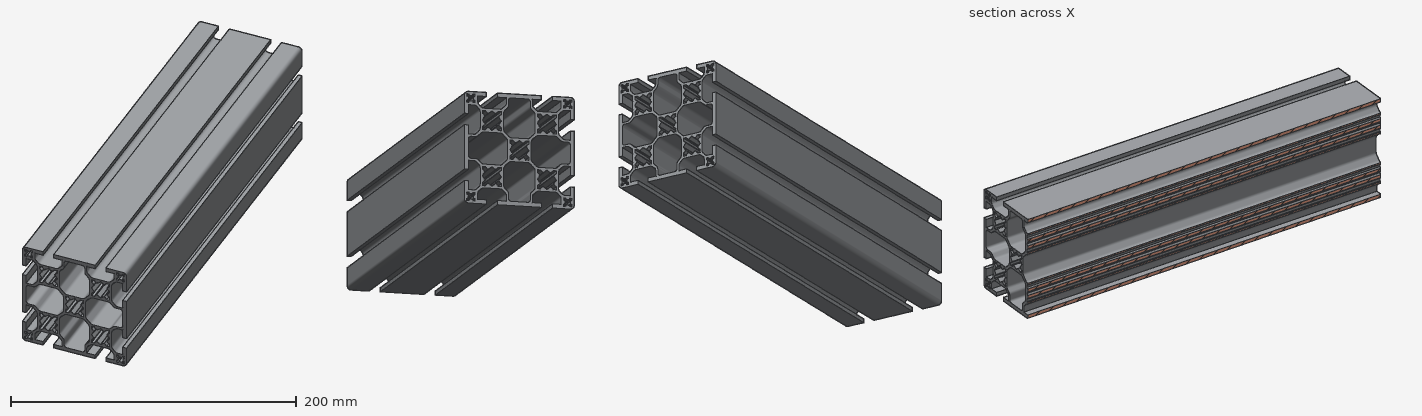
import cadquery as cq

length = 300.0
width = 80.0
half_width = width / 2

skin = 3.0
inner_width = width - 2 * skin
corner_radius = 3.0
slot_width = 8.2
slot_offset = width / 4

cell_side = 17.0
cell_wall = 1.7
tooth_inner_foot = 0.1
tooth_tip = 2.9
tooth_outer_foot = 4.8
tooth_height = 2.0

corner_cell_side = 9.6
corner_cell_wall = 1.85
ridge_height = 1.0
ridge_half_base = 1.6
ridge_half_crest = 1.2

diagonal_web = 2.2
straight_web = 1.5
straight_web_inner = 7.9
web_fillet = 3.0
web_root_fillet = 2.0

SIGNS = (-1, 1)
QUARTERS = range(4)
DIAGONALS = [(sx, sz) for sx in SIGNS for sz in SIGNS]
corner_cell_offset = half_width - corner_cell_side / 2
main_cells = [(0, 0)] + [(sx * slot_offset, sz * slot_offset) for sx, sz in DIAGONALS]
corner_cells = [(sx * corner_cell_offset, sz * corner_cell_offset) for sx, sz in DIAGONALS]

AXIS_START = (0, 0, 0)
AXIS_END = (0, 1, 0)


def section():
    """Cross-section plane with local axes X and Z, at the middle of the length."""
    return cq.Workplane("XZ")


def extrude_full(outline):
    """Extrude a cross-section outline over the whole length."""
    return outline.extrude(length / 2, both=True)


def bar(size_x, size_z, centres):
    """Rectangular bars of one size at the given centres."""
    return extrude_full(section().pushPoints(centres).rect(size_x, size_z))


def turned(points, quarter_turns):
    """Rotate outline points about the origin by quarter turns."""
    for _ in range(quarter_turns):
        points = [(-z, x) for x, z in points]
    return points


def rounded_block():
    """Solid block with the outer shape of the profile."""
    return bar(width, width, [(0, 0)]).edges("|Y").fillet(corner_radius)


def slotted_skin():
    """Rounded square tube with two slots in each side."""
    tube = rounded_block().cut(bar(inner_width, inner_width, [(0, 0)]))
    for sign in SIGNS:
        offset = sign * slot_offset
        tube = tube.cut(bar(slot_width, width, [(offset, 0)]))
        tube = tube.cut(bar(width, slot_width, [(0, offset)]))
    return tube


def cell_blocks():
    """Solid square bars for all the cells, kept inside the rounded outer shape."""
    corner_blocks = bar(corner_cell_side, corner_cell_side, corner_cells).intersect(rounded_block())
    return bar(cell_side, cell_side, main_cells).union(corner_blocks)


def diagonal_webs():
    """Two webs along the full diagonals, from corner cell to corner cell."""
    reach = 2 * 2**0.5 * corner_cell_offset
    flat = bar(reach, diagonal_web, [(0, 0)])
    return flat.rotate(AXIS_START, AXIS_END, 45).union(flat.rotate(AXIS_START, AXIS_END, -45))


def bent_web():
    """Web leaving the skin square on, then bending 45 degrees to the middle of a slot cell."""
    straight_web_outer = straight_web_inner + straight_web
    skin_middle = half_width - skin / 2
    centre_sum = 2 * slot_offset
    half_spread = diagonal_web / 2**0.5
    half_step = half_spread / 2
    outline = [
        (straight_web_inner, skin_middle),
        (straight_web_inner, centre_sum - half_spread - straight_web_inner),
        (slot_offset - half_step, slot_offset - half_step),
        (slot_offset + half_step, slot_offset + half_step),
        (straight_web_outer, centre_sum + half_spread - straight_web_outer),
        (straight_web_outer, skin_middle),
    ]
    return extrude_full(section().polyline(outline).close())


def skin_webs():
    """A mirrored pair of bent webs on each of the four sides."""
    right_web = bent_web()
    pair = right_web.union(right_web.mirror("YZ"))
    webs = pair
    for quarter in QUARTERS[1:]:
        webs = webs.union(pair.rotate(AXIS_START, AXIS_END, 90 * quarter))
    return webs


def round_web_junctions(body):
    """Round the bends of the webs and their junctions with the cells."""
    clearance = 0.5
    reach = inner_width / 2 - clearance
    inside = cq.selectors.BoxSelector((-reach, -length, -reach), (reach, length, reach))
    return body.edges("|Y").edges(inside).fillet(web_fillet)


def round_web_roots(body):
    """Round the corners where the straight webs meet the skin of the four large chambers."""
    roots = [(sign * straight_web_inner, inner_width / 2) for sign in SIGNS]
    edges = cq.Workplane()
    for quarter in QUARTERS:
        for x, z in turned(roots, quarter):
            nearest = cq.selectors.NearestToPointSelector((x, 0, z))
            edges = edges.add(body.edges(nearest))
    return body.newObject(edges.vals()).fillet(web_root_fillet)


def channels(half_side, side_points, centres):
    """Square channels with side_points shaping the top side, repeated on all four sides."""
    outline = []
    for quarter in QUARTERS:
        outline += turned([(half_side, half_side)] + side_points, quarter)
    cutter = cq.Workplane()
    for cx, cz in centres:
        moved = [(cx + x, cz + z) for x, z in outline]
        cutter = cutter.add(extrude_full(section().polyline(moved).close()))
    return cutter.combine()


def toothed_channels():
    """Channels with two pointed teeth on each side."""
    half = cell_side / 2 - cell_wall
    tip = half - tooth_height
    right_tooth = [(tooth_outer_foot, half), (tooth_tip, tip), (tooth_inner_foot, half)]
    left_tooth = [(-x, z) for x, z in reversed(right_tooth)]
    return channels(half, right_tooth + left_tooth, main_cells)


def ridged_channels():
    """Channels with one flat-topped ridge on each side."""
    half = corner_cell_side / 2 - corner_cell_wall
    crest = half - ridge_height
    ridge = [
        (ridge_half_base, half),
        (ridge_half_crest, crest),
        (-ridge_half_crest, crest),
        (-ridge_half_base, half),
    ]
    return channels(half, ridge, corner_cells)


profile = slotted_skin().union(cell_blocks()).union(diagonal_webs()).union(skin_webs())
profile = round_web_junctions(profile)
profile = round_web_roots(profile)
result = profile.cut(toothed_channels()).cut(ridged_channels())